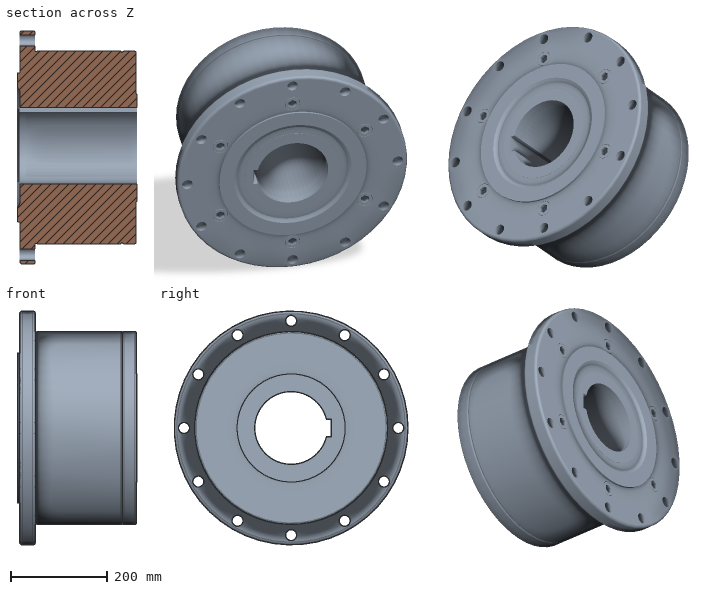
import cadquery as cq
import math

flange_front = 4.5
flange_back = 37.5
barrel_start = 40.5
groove_start = 213.5
groove_width = 7.5
barrel_end = 246.5
hub_end = 248.0

flange_radius = 242.5
flange_fillet = 6.0
barrel_radius = 200.5
ring_radius = 155.0
recess_mouth_radius = 124.0
recess_floor_radius = 116.0
recess_depth = 5.0
hub_rise = 0.5
hub_front_radius = 100.5
hub_back_radius = 112.0
bore_radius = 75.0

edge_round = 3.5
round_base_radius = barrel_radius - edge_round
arc_half_step = edge_round * math.sqrt(0.5)

relief_depth = 1.0

keyway_width = 35.5
keyway_reach = 83.0

rim_hole_count = 12
rim_hole_circle = 222.0
rim_hole_diameter = 22.5

screw_count = 6
screw_circle = 176.0
head_diameter = 30.5
head_gap = 0.75
gap_depth = 14.5
socket_corners = 19.5
socket_depth = 9.5


def round_down(outline, x):
    """Convex quarter arc towards +X, from the barrel surface at x down to the round's base."""
    middle = (x + arc_half_step, round_base_radius + arc_half_step)
    return outline.threePointArc(middle, (x + edge_round, round_base_radius))


def round_up(outline, x):
    """Convex quarter arc towards +X, from the round's base up to the barrel surface at x."""
    middle = (x - arc_half_step, round_base_radius + arc_half_step)
    return outline.threePointArc(middle, (x, barrel_radius))


def revolved_body():
    """Flanged barrel, revolved about X from its half section."""
    hub_front = recess_depth - hub_rise
    groove_end = groove_start + groove_width
    outline = cq.Workplane("XY").polyline([
        (hub_end, bore_radius),
        (hub_front, bore_radius),
        (hub_front, hub_front_radius),
        (recess_depth, hub_front_radius),
        (recess_depth, recess_floor_radius),
        (0, recess_mouth_radius),
        (0, ring_radius),
        (flange_front, ring_radius),
        (flange_front, flange_radius),
        (flange_back, flange_radius),
        (flange_back, barrel_radius - relief_depth),
        (barrel_start, barrel_radius - relief_depth),
        (barrel_start, barrel_radius),
        (groove_start, barrel_radius),
    ])
    outline = round_down(outline, groove_start)
    outline = outline.lineTo(groove_end - edge_round, round_base_radius)
    outline = round_up(outline, groove_end)
    outline = outline.lineTo(barrel_end - edge_round, barrel_radius)
    outline = round_down(outline, barrel_end - edge_round)
    outline = outline.lineTo(barrel_end, hub_back_radius).lineTo(hub_end, hub_back_radius)
    body = outline.close().revolve(360, (0, 0, 0), (1, 0, 0))
    rim = cq.selectors.RadiusNthSelector(-1)
    return body.edges(rim).fillet(flange_fillet)


def flange_plane():
    """Plane on the flange front face, with its normal pointing into the part along +X."""
    return cq.Workplane("YZ", origin=(flange_front, 0, 0))


def keyway():
    """Square-cornered slot along the whole bore."""
    return cq.Workplane("XY").box(hub_end, keyway_reach, keyway_width, centered=(False, False, True))


def rim_holes():
    """Ring of plain holes through the flange."""
    holes = flange_plane().polarArray(rim_hole_circle, 0, 360, rim_hole_count)
    return holes.circle(rim_hole_diameter / 2).extrude(flange_back - flange_front)


def screw_gaps():
    """Thin clearance rings around the screw heads."""
    outer_radius = head_diameter / 2 + head_gap
    heads = flange_plane().polarArray(screw_circle, 90, 360, screw_count)
    outer = heads.circle(outer_radius).extrude(gap_depth)
    inner = heads.circle(head_diameter / 2).extrude(gap_depth)
    return outer.cut(inner)


def screw_sockets():
    """Hexagon sockets, each with two corners in line with Z."""
    sockets = flange_plane().polarArray(screw_circle, 90, 360, screw_count)
    return sockets.polygon(6, socket_corners).extrude(socket_depth)


result = (
    revolved_body()
    .cut(keyway())
    .cut(rim_holes())
    .cut(screw_gaps())
    .cut(screw_sockets())
)